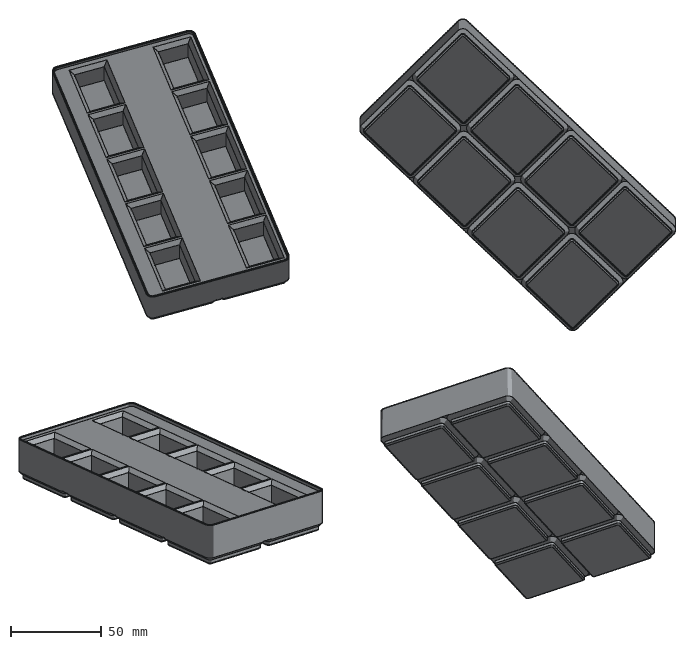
import cadquery as cq

length = 167.5
height = 24.5
columns = 4
rows = 2
cell_clearance = 0.25
cell = (length + 2 * cell_clearance) / columns
width = rows * cell - 2 * cell_clearance
corner_radius = 3.7
cell_radius = corner_radius + cell_clearance

toe_chamfer = 0.8
toe_wall = 1.8
flare = 2.3
foot_height = toe_chamfer + toe_wall + flare
foot_overlap = 0.8

rim_wall = 1.0
rim_depth = 2.0
rim_chamfer = 0.25
deck_z = height - rim_depth

pocket_count = 5
pocket_length = 31.2
pocket_width = 22.1
pocket_rib = 1.2
pocket_pitch = pocket_length + pocket_rib
pocket_row_pitch = 49.0
back_margin = 2.7
pocket_depth = 15.0
pocket_chamfer = 2.3


def rounded_block(x_size, y_size, radius, bottom_z, top_z):
    """Upright block with rounded vertical edges, centred on the Z axis."""
    block = cq.Workplane("XY").workplane(offset=bottom_z).rect(x_size, y_size)
    return block.extrude(top_z - bottom_z).edges("|Z").fillet(radius)


def make_foot():
    """One foot: a chamfered toe, and a 45 degree flare out to the full cell."""
    toe_size = cell - 2 * flare
    flare_z = foot_height - flare
    toe = rounded_block(toe_size, toe_size, cell_radius - flare, 0, foot_height)
    toe = toe.faces("<Z").chamfer(toe_chamfer)
    head = rounded_block(cell, cell, cell_radius, flare_z, foot_height + foot_overlap)
    head = head.faces("<Z").chamfer(flare)
    return toe.union(head)


def make_pocket():
    """Cutter for one square-cornered pocket with a sloped entry."""
    shaft_length = pocket_length - 2 * pocket_chamfer
    shaft_width = pocket_width - 2 * pocket_chamfer
    shaft = cq.Workplane("XY").workplane(offset=deck_z - pocket_depth)
    shaft = shaft.rect(shaft_length, shaft_width).extrude(pocket_depth)
    entry = cq.Workplane("XY").workplane(offset=deck_z).rect(pocket_length, pocket_width)
    entry = entry.extrude(-pocket_chamfer, taper=45)
    return shaft.union(entry)


result = rounded_block(length, width, corner_radius, foot_height, height)

foot = make_foot()
envelope = rounded_block(length, width, corner_radius, 0, foot_height + foot_overlap)
for column in range(columns):
    for row in range(rows):
        foot_x = (column - (columns - 1) / 2) * cell
        foot_y = (row - (rows - 1) / 2) * cell
        result = result.union(foot.translate((foot_x, foot_y, 0)).intersect(envelope))

result = result.cut(
    rounded_block(length - 2 * rim_wall, width - 2 * rim_wall, corner_radius - rim_wall, deck_z, height)
)
result = result.faces(">Z").chamfer(rim_chamfer)

pocket = make_pocket()
back_row_y = width / 2 - back_margin - pocket_width / 2
for pocket_y in (back_row_y, back_row_y - pocket_row_pitch):
    for index in range(pocket_count):
        pocket_x = (index - (pocket_count - 1) / 2) * pocket_pitch
        result = result.cut(pocket.translate((pocket_x, pocket_y, 0)))